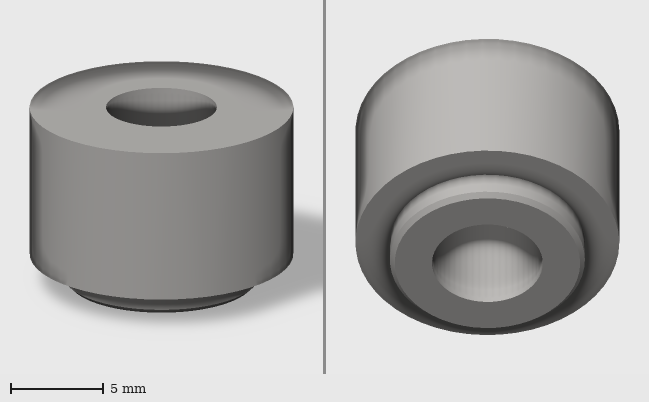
import cadquery as cq

body_diameter = 14.28
spigot_diameter = 10.55
bore_diameter = 6.0
total_height = 10.0
spigot_height = 1.54
spigot_chamfer = 0.25

body_height = total_height - spigot_height

spigot = (
    cq.Workplane("XY")
    .circle(spigot_diameter / 2)
    .extrude(spigot_height)
    .faces("<Z")
    .chamfer(spigot_chamfer)
)

body = (
    cq.Workplane("XY")
    .workplane(offset=spigot_height)
    .circle(body_diameter / 2)
    .extrude(body_height)
)

bore = cq.Workplane("XY").circle(bore_diameter / 2).extrude(total_height)

result = spigot.union(body).cut(bore)